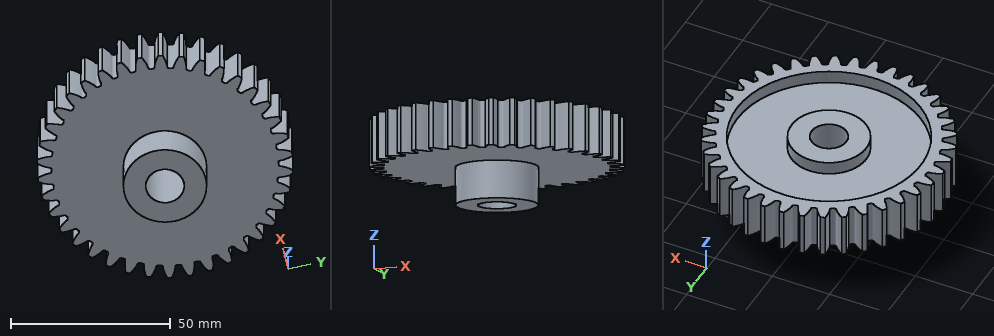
import cadquery as cq
import math

tooth_count = 38
module = 2.0
pressure_angle = math.radians(20)
dedendum_factor = 1.25
root_fillet = 0.7
flank_points = 6

face_width = 15.0
hub_length = 12.0
hub_diameter = 26.0
bore_diameter = 12.0
recess_diameter = 64.0
recess_depth = 4.5

pitch_radius = module * tooth_count / 2
base_radius = pitch_radius * math.cos(pressure_angle)
tip_radius = pitch_radius + module
root_radius = pitch_radius - dedendum_factor * module
tooth_pitch = 2 * math.pi / tooth_count


def polar(radius, angle):
    return (radius * math.cos(angle), radius * math.sin(angle))


def involute(angle):
    return math.tan(angle) - angle


def half_tooth_angle(radius):
    """Angle from a tooth's centre line to its involute flank at the given radius."""
    local_pressure_angle = math.acos(base_radius / radius)
    return tooth_pitch / 4 + involute(pressure_angle) - involute(local_pressure_angle)


fillet_center_radius = root_radius + root_fillet
fillet_angle = half_tooth_angle(fillet_center_radius) + root_fillet / base_radius
fillet_center = polar(fillet_center_radius, fillet_angle)
flank_tangent_length = math.sqrt(fillet_center_radius**2 - base_radius**2) + root_fillet
flank_start_radius = math.hypot(base_radius, flank_tangent_length)
flank_start_angle = half_tooth_angle(flank_start_radius)


def fillet_middle():
    """Polar radius and angle of the point halfway along a root fillet."""
    start_x, start_y = polar(flank_start_radius, flank_start_angle)
    end_x, end_y = polar(root_radius, fillet_angle)
    center_x, center_y = fillet_center
    toward_x = (start_x + end_x) / 2 - center_x
    toward_y = (start_y + end_y) / 2 - center_y
    scale = root_fillet / math.hypot(toward_x, toward_y)
    x = center_x + scale * toward_x
    y = center_y + scale * toward_y
    return math.hypot(x, y), math.atan2(y, x)


def flank_radii():
    """Radii along a flank, from the root fillet to the tip."""
    step = (tip_radius - flank_start_radius) / (flank_points - 1)
    return [flank_start_radius + i * step for i in range(flank_points)]


def gear_blank():
    """Toothed disc with one tooth centred on +X."""
    radii = flank_radii()
    middle_radius, middle_angle = fillet_middle()
    outline = cq.Workplane("XY").moveTo(*polar(flank_start_radius, -flank_start_angle))
    for tooth in range(tooth_count):
        center = tooth * tooth_pitch
        next_center = center + tooth_pitch
        rising = [polar(r, center - half_tooth_angle(r)) for r in radii]
        falling = [polar(r, center + half_tooth_angle(r)) for r in reversed(radii)]
        floor_start = polar(root_radius, center + fillet_angle)
        floor_middle = polar(root_radius, center + tooth_pitch / 2)
        floor_end = polar(root_radius, next_center - fillet_angle)
        next_flank = polar(flank_start_radius, next_center - flank_start_angle)
        outline = (
            outline.spline(rising[1:], includeCurrent=True)
            .threePointArc(polar(tip_radius, center), falling[0])
            .spline(falling[1:], includeCurrent=True)
            .threePointArc(polar(middle_radius, center + middle_angle), floor_start)
            .threePointArc(floor_middle, floor_end)
            .threePointArc(polar(middle_radius, next_center - middle_angle), next_flank)
        )
    return outline.close().extrude(face_width)


blank = gear_blank()

hub = cq.Workplane("XY").circle(hub_diameter / 2).extrude(-hub_length)

recess = (
    cq.Workplane("XY")
    .workplane(offset=face_width - recess_depth)
    .circle(recess_diameter / 2)
    .circle(hub_diameter / 2)
    .extrude(recess_depth)
)

bore = (
    cq.Workplane("XY")
    .workplane(offset=-hub_length)
    .circle(bore_diameter / 2)
    .extrude(hub_length + face_width)
)

result = blank.union(hub).cut(recess).cut(bore)